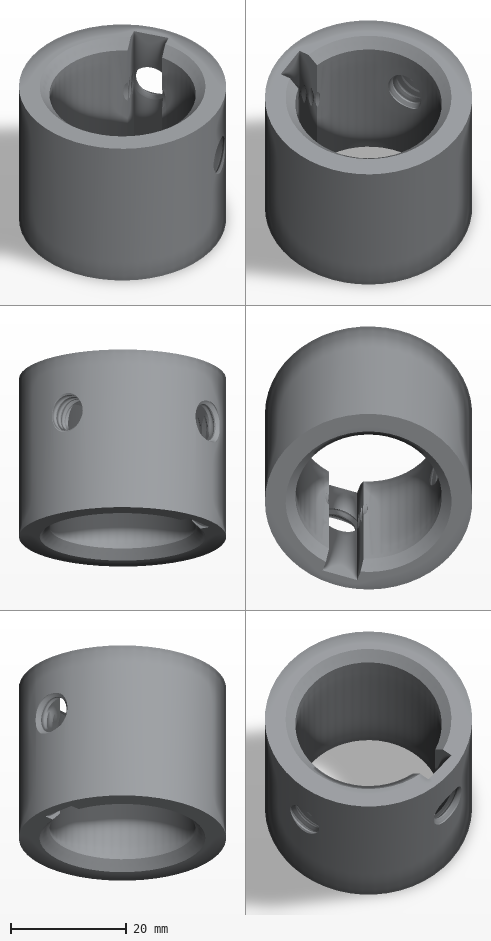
import cadquery as cq

outer_diameter = 36
outer_radius = outer_diameter / 2
height = 28.6
bore_diameter = 25.4
chamfer_diameter = 28.8
chamfer = (chamfer_diameter - bore_diameter) / 2

key_width = 6.35
key_floor = 15.88

screw_height = 18
thread_minor_radius = 6.4 / 2
thread_major_radius = 7.78 / 2
thread_pitch = 1.4
groove_mouth = 1.15
groove_root = 0.2
first_groove_x = 12.75
first_groove_y = 12.1
groove_count = 5


def make_collar():
    """Tube with a chamfer at both ends of the bore."""
    tube = cq.Workplane("XY").circle(outer_radius).circle(bore_diameter / 2).extrude(height)
    bore_edges = cq.selectors.RadiusNthSelector(0)
    return tube.edges("%CIRCLE").edges(bore_edges).chamfer(chamfer)


def make_keyway():
    """Rectangular slot running the full height of the bore."""
    return cq.Workplane("XY").rect(key_width, key_floor, centered=(True, False)).extrude(height)


def make_screw_hole(first_groove):
    """Radial hole along +X, with its thread simplified to parallel V grooves."""
    profile = cq.Workplane("XY").lineTo(0, thread_minor_radius)
    for index in range(groove_count):
        centre = first_groove + index * thread_pitch
        profile = (
            profile.lineTo(centre - groove_mouth / 2, thread_minor_radius)
            .lineTo(centre - groove_root / 2, thread_major_radius)
            .lineTo(centre + groove_root / 2, thread_major_radius)
            .lineTo(centre + groove_mouth / 2, thread_minor_radius)
        )
    profile = profile.lineTo(outer_diameter, thread_minor_radius).lineTo(outer_diameter, 0).close()
    hole = profile.revolve(360, (0, 0, 0), (1, 0, 0))
    return hole.translate((0, 0, screw_height))


result = make_collar().cut(make_keyway())
for angle, first_groove in ((0, first_groove_x), (90, first_groove_y)):
    hole = make_screw_hole(first_groove).rotate((0, 0, 0), (0, 0, 1), angle)
    result = result.cut(hole)